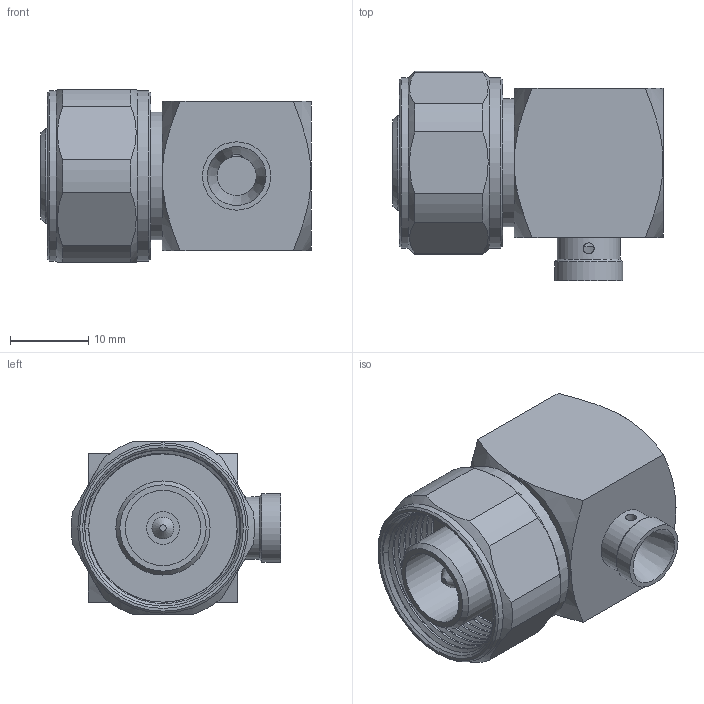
import cadquery as cq
import math


BODY_SIZE = 19.0
BODY_CHAMFER_ANGLE = 30.0
BODY_END_RADIUS = 9.49
BODY_HALF = BODY_SIZE / 2
BODY_ENVELOPE_MARGIN = 0.1

BARREL_TIP_X = -24.96
NUT_FRONT_X = -24.12
HEX_FRONT_X = -23.0
HEX_REAR_X = -12.65
NUT_REAR_X = -10.95
CAVITY_FLOOR_X = -15.2

NUT_RADIUS = 10.85
NUT_EDGE_CHAMFER = 0.25
HEX_FLATS = 22.0
HEX_CORNER_RADIUS = 11.68
NECK_RADIUS = 8.15

THREAD_MINOR_RADIUS = 9.46
THREAD_MAJOR_RADIUS = 10.0
THREAD_PITCH = 1.0
THREAD_ROOT_FLAT = THREAD_PITCH / 8
THREAD_FLANK_ANGLE = 30.0
THREAD_START_X = NUT_FRONT_X - THREAD_PITCH
THREAD_OVERLAP = 0.05
THREAD_START_ANGLE = -55.0
THREAD_TURNS = 11

MOUTH_RADIUS = 10.25
MOUTH_STEP_RADIUS = 9.95
MOUTH_STEP_DEPTH = 0.25
MOUTH_DEPTH = 0.8

BARREL_RADIUS = 6.0
BARREL_CHAMFER_RADIAL = 0.5
BARREL_CHAMFER_AXIAL = 0.62
BARREL_BORE_RADIUS = 4.8

PIN_TIP_X = -22.85
PIN_RADIUS = 1.4
PIN_TIP_RADIUS = 0.4
PIN_COLLAR_RADIUS = 2.1
PIN_COLLAR_LENGTH = 1.0

FERRULE_END_Y = -15.0
FERRULE_RADIUS = 4.0
FERRULE_RIM_RADIUS = 4.35
FERRULE_RIM_LENGTH = 2.4
FERRULE_MOUTH_RADIUS = 3.75
FERRULE_BORE_RADIUS = 2.5
FUNNEL_END_Y = -10.65
VENT_Y = -10.9
VENT_RADIUS = 0.7


def turned_on_x(profile):
    """Revolve a closed (x, radius) outline about the mating axis."""
    return cq.Workplane("XY").polyline(profile).close().revolve(360, (0, 0, 0), (1, 0, 0))


def turned_on_y(profile):
    """Revolve a closed (radius, y) outline about the cable axis."""
    return cq.Workplane("XY").polyline(profile).close().revolve(360, (0, 0, 0), (0, 1, 0))


def rod_on_x(radius, start_x, end_x):
    return cq.Workplane("YZ", origin=(start_x, 0, 0)).circle(radius).extrude(end_x - start_x)


def make_body():
    corner_radius = BODY_HALF * math.sqrt(2) + BODY_ENVELOPE_MARGIN
    slope = math.tan(math.radians(BODY_CHAMFER_ANGLE))
    chamfer = (corner_radius - BODY_END_RADIUS) * slope
    turned_envelope = turned_on_x([
        (-BODY_HALF, 0),
        (-BODY_HALF, BODY_END_RADIUS),
        (-BODY_HALF + chamfer, corner_radius),
        (BODY_HALF - chamfer, corner_radius),
        (BODY_HALF, BODY_END_RADIUS),
        (BODY_HALF, 0),
    ])
    return cq.Workplane("XY").box(BODY_SIZE, BODY_SIZE, BODY_SIZE).intersect(turned_envelope)


def make_nut_outside():
    collar = rod_on_x(NUT_RADIUS, NUT_FRONT_X, NUT_REAR_X).edges().chamfer(NUT_EDGE_CHAMFER)
    hex_chamfer = HEX_CORNER_RADIUS - NUT_RADIUS
    hex_envelope = turned_on_x([
        (HEX_FRONT_X, 0),
        (HEX_FRONT_X, NUT_RADIUS),
        (HEX_FRONT_X + hex_chamfer, HEX_CORNER_RADIUS),
        (HEX_REAR_X - hex_chamfer, HEX_CORNER_RADIUS),
        (HEX_REAR_X, NUT_RADIUS),
        (HEX_REAR_X, 0),
    ])
    hexagon = (
        cq.Workplane("YZ", origin=(HEX_FRONT_X, 0, 0))
        .polygon(6, HEX_FLATS / math.cos(math.pi / 6))
        .extrude(HEX_REAR_X - HEX_FRONT_X)
        .intersect(hex_envelope)
    )
    return collar.union(hexagon)


def make_nut_cavity():
    """Plain hollow of the nut, bored to the thread's minor radius with a flared mouth."""
    return turned_on_x([
        (NUT_FRONT_X, 0),
        (NUT_FRONT_X, MOUTH_RADIUS),
        (NUT_FRONT_X + MOUTH_STEP_DEPTH, MOUTH_STEP_RADIUS),
        (NUT_FRONT_X + MOUTH_DEPTH, THREAD_MINOR_RADIUS),
        (CAVITY_FLOOR_X, THREAD_MINOR_RADIUS),
        (CAVITY_FLOOR_X, 0),
    ])


def make_thread_groove():
    """Helical groove with a flat root, reaching a little inside the minor radius."""
    inner_radius = THREAD_MINOR_RADIUS - THREAD_OVERLAP
    root_half = THREAD_ROOT_FLAT / 2
    flank = (THREAD_MAJOR_RADIUS - inner_radius) * math.tan(math.radians(THREAD_FLANK_ANGLE))
    inner_half = root_half + flank
    helix = cq.Wire.makeHelix(THREAD_PITCH, THREAD_TURNS * THREAD_PITCH, inner_radius)
    groove = (
        cq.Workplane("XZ")
        .polyline([
            (inner_radius, -inner_half),
            (THREAD_MAJOR_RADIUS, -root_half),
            (THREAD_MAJOR_RADIUS, root_half),
            (inner_radius, inner_half),
        ])
        .close()
        .sweep(cq.Workplane(helix), isFrenet=True)
    )
    return (
        groove
        .rotate((0, 0, 0), (1, 1, 1), 120)
        .rotate((0, 0, 0), (1, 0, 0), THREAD_START_ANGLE)
        .translate((THREAD_START_X, 0, 0))
        .intersect(rod_on_x(NUT_RADIUS, THREAD_START_X - THREAD_PITCH, CAVITY_FLOOR_X))
    )


def make_barrel():
    return turned_on_x([
        (BARREL_TIP_X, BARREL_BORE_RADIUS),
        (BARREL_TIP_X, BARREL_RADIUS - BARREL_CHAMFER_RADIAL),
        (BARREL_TIP_X + BARREL_CHAMFER_AXIAL, BARREL_RADIUS),
        (CAVITY_FLOOR_X, BARREL_RADIUS),
        (CAVITY_FLOOR_X, BARREL_BORE_RADIUS),
    ])


def make_pin():
    collar_x = CAVITY_FLOOR_X - PIN_COLLAR_LENGTH
    return turned_on_x([
        (PIN_TIP_X, 0),
        (PIN_TIP_X, PIN_TIP_RADIUS),
        (PIN_TIP_X + PIN_RADIUS - PIN_TIP_RADIUS, PIN_RADIUS),
        (collar_x, PIN_RADIUS),
        (collar_x, PIN_COLLAR_RADIUS),
        (CAVITY_FLOOR_X, PIN_COLLAR_RADIUS),
        (CAVITY_FLOOR_X, 0),
    ])


def make_ferrule():
    rim_y = FERRULE_END_Y + FERRULE_RIM_LENGTH
    rim_step = FERRULE_RIM_RADIUS - FERRULE_RADIUS
    ferrule = turned_on_y([
        (FERRULE_MOUTH_RADIUS, FERRULE_END_Y),
        (FERRULE_RIM_RADIUS, FERRULE_END_Y),
        (FERRULE_RIM_RADIUS, rim_y),
        (FERRULE_RADIUS, rim_y + rim_step),
        (FERRULE_RADIUS, -BODY_HALF),
        (FERRULE_BORE_RADIUS, -BODY_HALF),
        (FERRULE_BORE_RADIUS, FUNNEL_END_Y),
    ])
    vent = cq.Workplane("XY", origin=(0, VENT_Y, 0)).circle(VENT_RADIUS).extrude(FERRULE_RIM_RADIUS)
    return ferrule.cut(vent)


neck = rod_on_x(NECK_RADIUS, NUT_REAR_X, -BODY_HALF)
nut = make_nut_outside().cut(make_nut_cavity()).cut(make_thread_groove())
result = (
    make_body()
    .union(neck)
    .union(nut)
    .union(make_barrel())
    .union(make_pin())
    .union(make_ferrule())
)